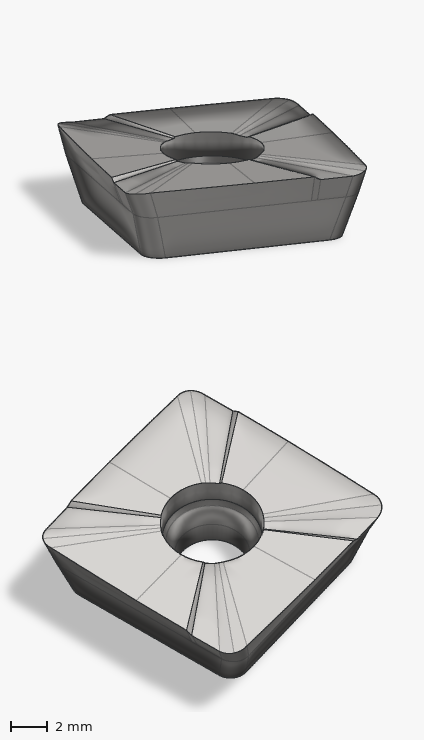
import cadquery as cq
import math

height = 4.14
half_width = 7.01
side_count = 4

waist_z = 2.61
waist_half = 6.48
waist_corner_radius = 1.05
clearance_angle = 15.0
base_half = waist_half - waist_z * math.tan(math.radians(clearance_angle))

edge_bulge = 0.077
land_y = half_width + edge_bulge
land_start_x = -5.68
land_end_x = -3.79
step_end_x = -3.43
step_end_y = 7.01
bow_middle_x = 0.0
bow_middle_y = 6.95
edge_end_x = 5.93
edge_end_y = 6.73
corner_middle_x = -6.45
corner_middle_y = 6.73

dish_depth = 0.21
relief_depth = 0.2
relief_corner_depth = 0.07
relief_overshoot = 1.2
roof_clearance = 0.28

bore_radius = 2.05
mouth_radius = 2.83
mouth_bottom_radius = 2.72
mouth_depth = 1.47
seat_radius = 2.52
seat_depth = 1.78
bore_depth = 2.8


def turn(point, step):
    """Rotate an XY point clockwise by a number of quarter turns."""
    x, y = point
    for _ in range(step):
        x, y = y, -x
    return (x, y)


def cutting_edge_outline():
    """Top outline: the same corner and edge repeated on all four sides."""
    outline = cq.Workplane("XY").workplane(offset=height).moveTo(-edge_end_y, edge_end_x)
    for step in range(side_count):
        outline = (
            outline
            .threePointArc(turn((corner_middle_x, corner_middle_y), step), turn((land_start_x, land_y), step))
            .lineTo(*turn((land_end_x, land_y), step))
            .lineTo(*turn((step_end_x, step_end_y), step))
            .threePointArc(turn((bow_middle_x, bow_middle_y), step), turn((edge_end_x, edge_end_y), step))
        )
    return outline.close().wire().val()


def square_outline(half, corner_radius, z):
    """Rounded square whose sides are split to pair with the cutting edge."""
    straight = half - corner_radius
    corner_middle = straight + corner_radius * math.sqrt(0.5)
    outline = cq.Workplane("XY").workplane(offset=z).moveTo(-half, straight)
    for step in range(side_count):
        outline = (
            outline
            .threePointArc(turn((-corner_middle, corner_middle), step), turn((-straight, half), step))
            .lineTo(*turn((land_end_x, half), step))
            .lineTo(*turn((step_end_x, half), step))
            .lineTo(*turn((straight, half), step))
        )
    return outline.close().wire().val()


def polygon_face(points):
    return cq.Face.makeFromWires(cq.Wire.makePolygon([cq.Vector(*p) for p in points], close=True))


def top_relief():
    """Cutter whose floor fans out from a sunken point on the axis to the cutting edge."""
    edge_points = [
        (corner_middle_x, corner_middle_y, relief_corner_depth),
        (land_start_x, half_width, relief_depth),
        (land_end_x, half_width, relief_depth),
        (step_end_x, step_end_y, 0),
        (bow_middle_x, bow_middle_y, 0),
        (edge_end_x, edge_end_y, 0),
    ]
    floor = []
    for step in range(side_count):
        for x, y, depth in edge_points:
            floor_x, floor_y = turn((x * relief_overshoot, y * relief_overshoot), step)
            floor_depth = dish_depth + (depth - dish_depth) * relief_overshoot
            floor.append((floor_x, floor_y, height - floor_depth))
    roof = [(x, y, height + roof_clearance) for x, y, _ in floor]
    apex = (0, 0, height - dish_depth)
    faces = [polygon_face(roof)]
    for i in range(len(floor)):
        faces.append(polygon_face([apex, floor[i - 1], floor[i]]))
        faces.append(polygon_face([floor[i - 1], floor[i], roof[i], roof[i - 1]]))
    return cq.Workplane(obj=cq.Solid.makeSolid(cq.Shell.makeShell(faces)))


def screw_hole():
    """Tapered mouth, conical step and rounded seat leading into the bore."""
    seat_drop = bore_depth - seat_depth
    seat_step = seat_radius - bore_radius
    arc_radius = (seat_drop**2 + seat_step**2) / (2 * seat_step)
    arc_angle = math.asin(seat_drop / arc_radius) / 2
    arc_middle = (
        bore_radius + arc_radius * (1 - math.cos(arc_angle)),
        height - bore_depth + arc_radius * math.sin(arc_angle),
    )
    return (
        cq.Workplane("XZ")
        .lineTo(bore_radius, 0)
        .lineTo(bore_radius, height - bore_depth)
        .threePointArc(arc_middle, (seat_radius, height - seat_depth))
        .lineTo(mouth_bottom_radius, height - mouth_depth)
        .lineTo(mouth_radius, height)
        .lineTo(0, height)
        .close()
        .revolve(360, (0, 0, 0), (0, 1, 0))
    )


waist = square_outline(waist_half, waist_corner_radius, waist_z)
base = square_outline(base_half, waist_corner_radius, 0)
lower_body = cq.Workplane(obj=cq.Solid.makeLoft([base, waist], True))
upper_body = cq.Workplane(obj=cq.Solid.makeLoft([waist, cutting_edge_outline()], True))

result = lower_body.union(upper_body).cut(top_relief()).cut(screw_hole())